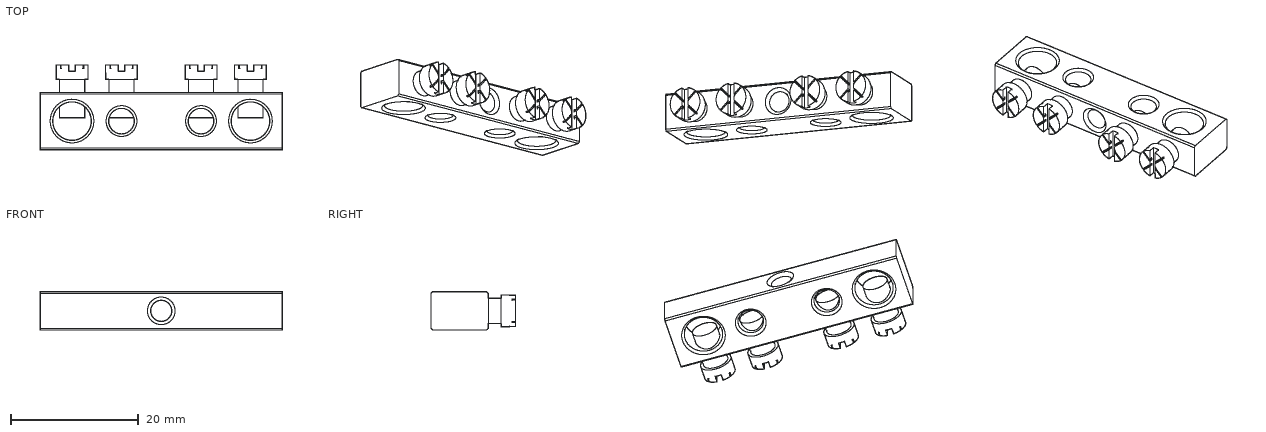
import cadquery as cq

BAR_LENGTH = 38.0
BAR_WIDTH = 9.0
BAR_HEIGHT = 6.0
BAR_EDGE_CHAMFER = 0.25
BAR_BACK = BAR_WIDTH / 2

OUTER_WIRE_X = 14.0
OUTER_WIRE_DIAMETER = 6.0
INNER_WIRE_X = 6.25
INNER_WIRE_DIAMETER = 4.0
WIRE_CHAMFER = 0.4

MOUNT_DIAMETER = 3.25
MOUNT_CHAMFER = 0.55

SHANK_DIAMETER = 4.0
SHANK_IN_BAR = 4.0
SHANK_EXPOSED = 2.0
HEAD_DIAMETER = 5.0
HEAD_HEIGHT = 2.28
SLOT_WIDTH = 1.0
SLOT_DEPTH = 1.0
CROSS_CUT_WIDTH = 0.2
CROSS_CUT_DEPTH = 0.57
CROSS_CUT_ANGLES = (45, -45)

SCREW_POSITIONS = (-OUTER_WIRE_X, -INNER_WIRE_X, INNER_WIRE_X, OUTER_WIRE_X)
SHANK_TIP = BAR_BACK - SHANK_IN_BAR
HEAD_BASE = BAR_BACK + SHANK_EXPOSED
HEAD_TOP = HEAD_BASE + HEAD_HEIGHT


def cylinder_along_y(diameter, y_start, y_end, x=0.0):
    """Cylinder on the mid-height plane, running from y_start to y_end."""
    return (
        cq.Workplane("XZ", origin=(x, y_start, 0))
        .circle(diameter / 2)
        .extrude(y_start - y_end)
    )


def countersunk_cutter(diameter, length, chamfer):
    """Cylinder along Z, centred on the origin, flaring at 45 degrees to both ends."""
    radius = diameter / 2
    half = length / 2
    return (
        cq.Workplane("XZ")
        .moveTo(0, -half)
        .lineTo(radius + chamfer, -half)
        .lineTo(radius, chamfer - half)
        .lineTo(radius, half - chamfer)
        .lineTo(radius + chamfer, half)
        .lineTo(0, half)
        .close()
        .revolve(360, (0, 0, 0), (0, 1, 0))
    )


def make_bar():
    bar = cq.Workplane("XY").box(BAR_LENGTH, BAR_WIDTH, BAR_HEIGHT)
    bar = bar.edges("|X").chamfer(BAR_EDGE_CHAMFER)

    for distance, diameter in (
        (OUTER_WIRE_X, OUTER_WIRE_DIAMETER),
        (INNER_WIRE_X, INNER_WIRE_DIAMETER),
    ):
        wire_hole = countersunk_cutter(diameter, BAR_HEIGHT, WIRE_CHAMFER)
        for x in (-distance, distance):
            bar = bar.cut(wire_hole.translate((x, 0, 0)))

    mount_hole = countersunk_cutter(MOUNT_DIAMETER, BAR_WIDTH, MOUNT_CHAMFER)
    bar = bar.cut(mount_hole.rotate((0, 0, 0), (1, 0, 0), 90))

    for x in SCREW_POSITIONS:
        bar = bar.cut(cylinder_along_y(SHANK_DIAMETER, SHANK_TIP, BAR_BACK, x))
    return bar


def head_groove(width, depth, angle):
    """Groove across the head's top face; at angle 0 it runs along Z."""
    groove = cq.Workplane("XY").box(width, depth, HEAD_DIAMETER * 2)
    groove = groove.translate((0, HEAD_TOP - depth / 2, 0))
    return groove.rotate((0, 0, 0), (0, 1, 0), angle)


def make_screw(x):
    shank = cylinder_along_y(SHANK_DIAMETER, SHANK_TIP, HEAD_BASE)
    head = cylinder_along_y(HEAD_DIAMETER, HEAD_BASE, HEAD_TOP)
    screw = shank.union(head)
    screw = screw.cut(head_groove(SLOT_WIDTH, SLOT_DEPTH, 0))
    for angle in CROSS_CUT_ANGLES:
        screw = screw.cut(head_groove(CROSS_CUT_WIDTH, CROSS_CUT_DEPTH, angle))
    return screw.translate((x, 0, 0))


bar = make_bar()
screws = [make_screw(x) for x in SCREW_POSITIONS]

result = cq.Compound.makeCompound([bar.val(), *[screw.val() for screw in screws]])